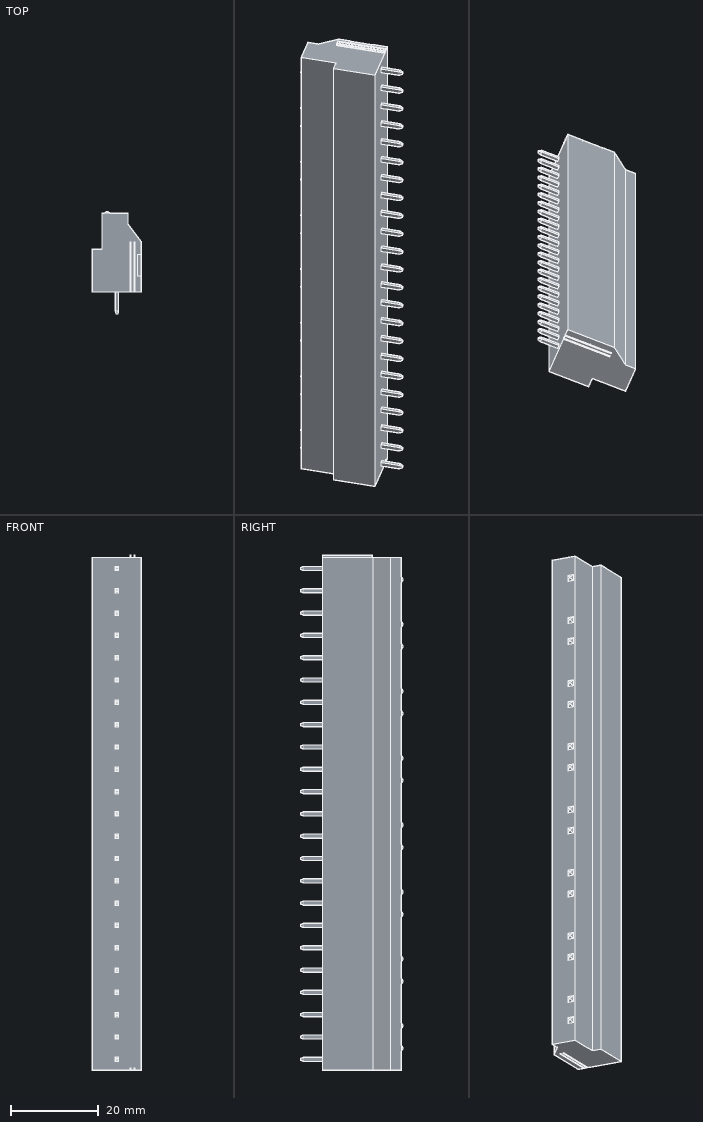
import cadquery as cq

POLE_COUNT = 23
PITCH = 5.08
BODY_WIDTH = 11.2
BODY_LENGTH = POLE_COUNT * PITCH
TOTAL_DEPTH = 23.4

PIN_LENGTH = 5.0
NIB_HEIGHT = 0.4
BODY_DEPTH = TOTAL_DEPTH - PIN_LENGTH - NIB_HEIGHT
STEP_WIDTH = 2.2
STEP_DEPTH = 9.8
CREST_END = 8.2
SLOPE_TOP = 15.5
SLOPE_BOTTOM = 11.5

PIN_WIDTH = 0.8
PIN_HEIGHT = 1.0
PIN_X = 5.65
PIN_TAPER_LENGTH = 0.7
PIN_TIP_SIZE = 0.4

NIB_X = 3.4
NIB_BASE = 1.4
NIB_TIP = 0.2
NIB_GROUP = 3
NIB_GAP = 2

RIB_STARTS = (8.65, 9.5)
RIB_WIDTH = 0.25
RIB_HEIGHT = 0.5
GROOVE_DEPTH = 0.6
RIB_LENGTH = 11.4

RECESS_X = 10.35
RECESS_START = 3.7
RECESS_END = 8.6
RECESS_DEPTH = 0.1


def make_body():
    outline = [
        (0, 0),
        (BODY_WIDTH, 0),
        (BODY_WIDTH, SLOPE_BOTTOM),
        (CREST_END, SLOPE_TOP),
        (CREST_END, BODY_DEPTH),
        (STEP_WIDTH, BODY_DEPTH),
        (STEP_WIDTH, STEP_DEPTH),
        (0, STEP_DEPTH),
    ]
    return cq.Workplane("XY").polyline(outline).close().extrude(BODY_LENGTH)


def make_bar(x, base_z, height):
    """Straight bar along Y, standing on base_z: a rib, or the cutter for its groove."""
    bar = cq.Workplane("XY").box(RIB_WIDTH, RIB_LENGTH, height, centered=False)
    return bar.translate((x, 0, base_z))


def make_recess():
    recess_width = BODY_WIDTH - RECESS_X
    recess_length = RECESS_END - RECESS_START
    recess = cq.Workplane("XY").box(recess_width, recess_length, RECESS_DEPTH, centered=False)
    return recess.translate((RECESS_X, RECESS_START, BODY_LENGTH - RECESS_DEPTH))


def make_pin(z):
    """Rectangular pin towards -Y with a tapered tip."""
    shaft_length = PIN_LENGTH - PIN_TAPER_LENGTH
    face = cq.Workplane("XZ", origin=(PIN_X, 0, z))
    shaft = face.rect(PIN_WIDTH, PIN_HEIGHT).extrude(shaft_length)
    tip = (
        face.workplane(offset=shaft_length)
        .rect(PIN_WIDTH, PIN_HEIGHT)
        .workplane(offset=PIN_TAPER_LENGTH)
        .rect(PIN_TIP_SIZE, PIN_TIP_SIZE)
        .loft()
    )
    return shaft.union(tip)


def make_nib(z):
    """Small blunt pyramid on the +Y crest."""
    return (
        cq.Workplane("XZ", origin=(NIB_X, BODY_DEPTH, z))
        .rect(NIB_BASE, NIB_BASE)
        .workplane(offset=-NIB_HEIGHT)
        .rect(NIB_TIP, NIB_TIP)
        .loft()
    )


result = make_body().cut(make_recess())

for rib_x in RIB_STARTS:
    result = result.union(make_bar(rib_x, BODY_LENGTH, RIB_HEIGHT))
    result = result.cut(make_bar(rib_x, 0, GROOVE_DEPTH))

for pole in range(POLE_COUNT):
    result = result.union(make_pin(PITCH / 2 + pole * PITCH))

for joint in range(1, POLE_COUNT):
    if joint % NIB_GROUP != NIB_GAP:
        result = result.union(make_nib(BODY_LENGTH - joint * PITCH))